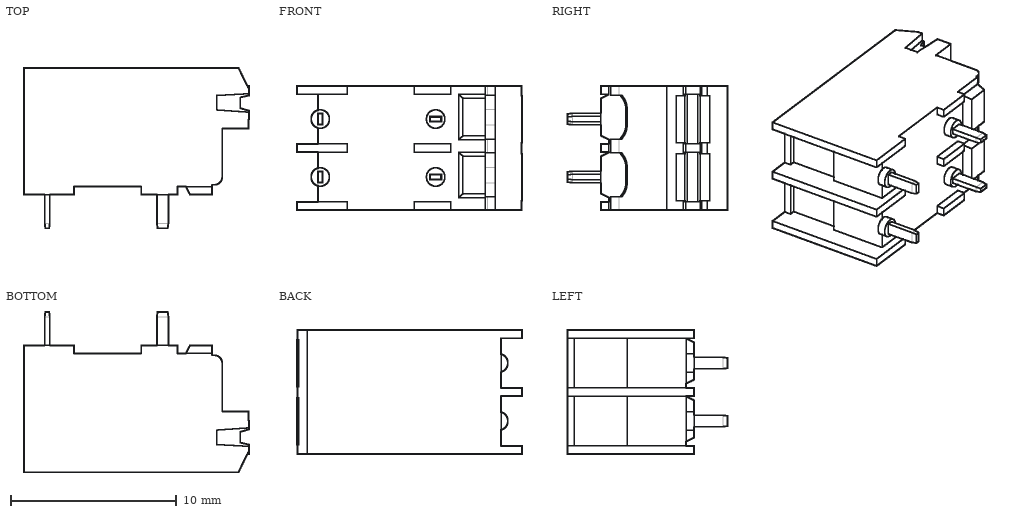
import cadquery as cq
import math


pole_count = 2
pitch = 3.5
plate_thickness = 0.5
total_height = pole_count * pitch + plate_thickness
plate_levels = [i * pitch for i in range(pole_count + 1)]
pole_levels = plate_levels[:-1]
pole_center = (pitch + plate_thickness) / 2

back_y = 7.18
nose_x = 13.58
nose_low_y = 3.5
nose_high_y = 5.94
nose_chamfer_x = 12.98
corner_x = 12.0
corner_radius = 0.5
corner_step_x = 11.39
corner_step_y = 0.1

wall_x = 1.28
pocket_depth = 0.34
pocket_low_y = 3.54
pocket_high_y = 6.74

foot_height = 0.49
foot_spans = [(0, 3.04), (7.1, 9.29)]

boss_start_x = 9.79
boss_width = 2.75
boss_inset = 0.25
boss_center = pitch - boss_width / 2
hollow_width = 2.65
hollow_floor_y = 1.02
hollow_flat = 0.95
hollow_radius = 1.17
hollow_draft = 7

slot_floor_x = 11.65
slot_floor_low_y = 4.63
slot_floor_high_y = 5.5
slot_mouth_low_y = 4.5
slot_mouth_high_y = 5.61
pad_x = 13.62
pad_low_y = 4.06
pad_high_y = 6.09
pad_low_z = 0.56
pad_high_z = 3.42
notch_floor_x = 13.09
notch_floor_low_y = 4.74
notch_floor_high_y = 5.38
notch_mouth_low_y = 4.59
notch_mouth_high_y = 5.5

collar_radius = 0.56
pin_tip_y = -2.52
pin_taper_y = -2.2
pin_tip_inset = 0.04
pin_wide = 0.71
pin_thin = 0.33
pin_types = [(1.42, pin_thin, pin_wide), (8.39, pin_wide, pin_thin)]


def box(x_span, y_span, z_span):
    """Box between the given limits on each axis."""
    lows, highs = zip(x_span, y_span, z_span)
    size = [high - low for low, high in zip(lows, highs)]
    return cq.Workplane("XY").box(*size, centered=False).translate(lows)


def seat_plane(x, y, z):
    """Workplane facing -Y, with local x along X and local y along Z."""
    return cq.Workplane("XZ", origin=(x, y, z))


def inset_angle(inset, length):
    """Draft angle in degrees that draws a face in by inset over length."""
    return math.degrees(math.atan2(inset, length))


def make_housing():
    arc_start_x = corner_x - corner_radius
    arc_end_y = corner_step_y + corner_radius
    arc_shift = corner_radius * math.sqrt(0.5)
    arc_middle = (arc_start_x + arc_shift, arc_end_y - arc_shift)
    return (
        cq.Workplane("XY")
        .moveTo(0, 0)
        .lineTo(corner_step_x, 0)
        .lineTo(corner_step_x, corner_step_y)
        .lineTo(arc_start_x, corner_step_y)
        .threePointArc(arc_middle, (corner_x, arc_end_y))
        .lineTo(corner_x, nose_low_y)
        .lineTo(nose_x, nose_low_y)
        .lineTo(nose_x, nose_high_y)
        .lineTo(nose_chamfer_x, back_y)
        .lineTo(0, back_y)
        .close()
        .extrude(total_height)
    )


def make_end_recess(level):
    """Space between two plates at the -X end, with a deeper pocket in its wall."""
    z_span = (level + plate_thickness, level + pitch)
    recess = box((0, wall_x), (0, back_y), z_span)
    pocket = box((0, wall_x + pocket_depth), (pocket_low_y, pocket_high_y), z_span)
    return recess.union(pocket)


def make_boss(level):
    """Boss drafted on three sides, cut off square at the corner step."""
    spare = boss_inset * 2
    length = corner_step_x - boss_start_x + spare
    boss = (
        seat_plane(boss_start_x + length / 2, 0, level + boss_center)
        .rect(length, boss_width)
        .extrude(foot_height, taper=inset_angle(boss_inset, foot_height))
    )
    z_span = (level, level + pitch)
    return boss.cut(box((corner_step_x, corner_step_x + spare), (-foot_height, 0), z_span))


def make_hollow(level):
    """Trough that widens towards +X, with a flat floor and round edges between straight side walls."""
    center_z = level + boss_center
    diameter = 2 * hollow_radius
    flare = (
        cq.Workplane("YZ", origin=(corner_step_x, hollow_floor_y - hollow_radius, center_z))
        .slot2D(hollow_flat + diameter, diameter, 90)
        .extrude(corner_x - corner_step_x, taper=-hollow_draft)
    )
    half_width = hollow_width / 2
    opening = box((corner_step_x, corner_x), (0, nose_low_y), (center_z - half_width, center_z + half_width))
    return flare.intersect(opening)


def make_pad(level):
    return box((nose_chamfer_x, pad_x), (pad_low_y, pad_high_y), (level + pad_low_z, level + pad_high_z))


def make_plate_slot(level):
    """Deep slot through one plate, wider at its mouth."""
    return (
        cq.Workplane("XY", origin=(0, 0, level))
        .moveTo(slot_floor_x, slot_floor_low_y)
        .lineTo(nose_x, slot_mouth_low_y)
        .lineTo(nose_x, slot_mouth_high_y)
        .lineTo(slot_floor_x, slot_floor_high_y)
        .close()
        .extrude(plate_thickness)
    )


def make_notch():
    """Shallow notch across the nose and pads over the full height."""
    return (
        cq.Workplane("XY")
        .moveTo(notch_floor_x, notch_floor_low_y)
        .lineTo(pad_x, notch_mouth_low_y)
        .lineTo(pad_x, notch_mouth_high_y)
        .lineTo(notch_floor_x, notch_floor_high_y)
        .close()
        .extrude(total_height)
    )


def make_pin(x, size_x, size_z, level):
    """Round collar with a flat pin whose tip is drawn in on all sides."""
    z = level + pole_center
    collar = seat_plane(x, 0, z).circle(collar_radius).extrude(foot_height)
    shank = seat_plane(x, 0, z).rect(size_x, size_z).extrude(-pin_taper_y)
    tip_length = pin_taper_y - pin_tip_y
    tip = (
        seat_plane(x, pin_taper_y, z)
        .rect(size_x, size_z)
        .extrude(tip_length, taper=inset_angle(pin_tip_inset, tip_length))
    )
    return collar.union(shank).union(tip)


result = make_housing()

for level in pole_levels:
    result = result.cut(make_end_recess(level))
    result = result.cut(make_hollow(level))
    result = result.union(make_boss(level))
    result = result.union(make_pad(level))
    for x, size_x, size_z in pin_types:
        result = result.union(make_pin(x, size_x, size_z, level))

for level in plate_levels:
    result = result.cut(make_plate_slot(level))
    for foot_span in foot_spans:
        result = result.union(box(foot_span, (-foot_height, 0), (level, level + plate_thickness)))

result = result.cut(make_notch())